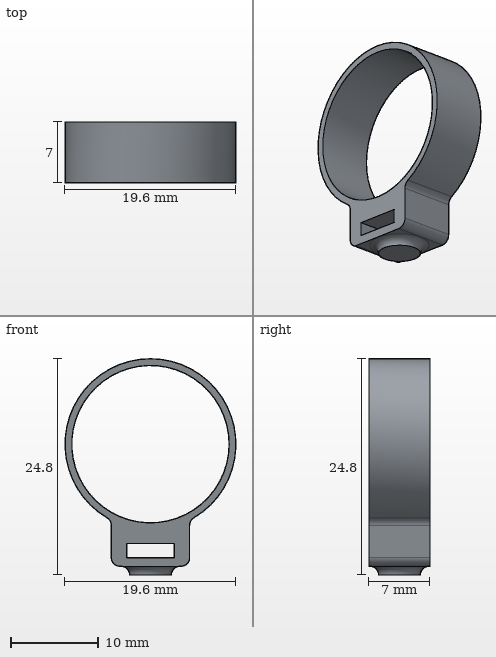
import cadquery as cq

bore_diameter = 18.0
wall_thickness = 0.8
band_width = 7.0
bore_radius = bore_diameter / 2
ring_radius = bore_radius + wall_thickness

block_width = 9.0
block_bottom_z = -14.0
corner_radius = 1.0

slot_width = 5.4
slot_height = 1.6
slot_floor_thickness = 1.0
slot_bottom_z = block_bottom_z + slot_floor_thickness

foot_height = 1.0
foot_end_radius = 2.4
foot_base_radius = foot_end_radius + foot_height


def make_body():
    """Solid disc joined to the block, with the block's Y edges rounded."""
    disc = cq.Workplane("XZ").circle(ring_radius).extrude(band_width / 2, both=True)
    block = (
        cq.Workplane("XY")
        .box(block_width, band_width, -block_bottom_z, centered=(True, True, False))
        .translate((0, 0, block_bottom_z))
    )
    edges = cq.selectors.BoxSelector(
        (-block_width, -band_width, block_bottom_z - corner_radius),
        (block_width, band_width, -bore_radius / 2),
    )
    return disc.union(block).edges("|Y").edges(edges).fillet(corner_radius)


def make_foot():
    """Foot revolved about Z, its side a concave arc tangent to the block."""
    foot_end_z = block_bottom_z - foot_height
    return (
        cq.Workplane("XZ")
        .moveTo(0, foot_end_z)
        .lineTo(foot_end_radius, foot_end_z)
        .radiusArc((foot_base_radius, block_bottom_z), foot_height)
        .lineTo(0, block_bottom_z)
        .close()
        .revolve(360, (0, 0, 0), (0, 1, 0))
    )


def make_bore():
    """Cutter for the round opening of the ring."""
    return cq.Workplane("XZ").circle(bore_radius).extrude(band_width, both=True)


def make_slot():
    """Cutter for the rectangular slot, running through along Y."""
    slot_center_z = slot_bottom_z + slot_height / 2
    return (
        cq.Workplane("XZ")
        .center(0, slot_center_z)
        .rect(slot_width, slot_height)
        .extrude(band_width, both=True)
    )


result = make_body().union(make_foot()).cut(make_bore()).cut(make_slot())